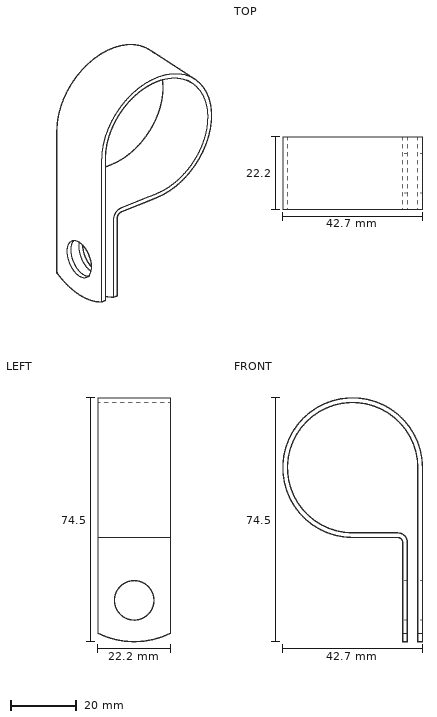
import cadquery as cq
import math

total_height = 74.5
loop_diameter = 42.7
strap_width = 22.2
thickness = 1.5
leg_gap = 3.1
bend_inner_radius = 1.5
hole_diameter = 12.0
hole_height = 12.7
tip_rise = 2.6

outer_radius = loop_diameter / 2
inner_radius = outer_radius - thickness
bottom = outer_radius - total_height
short_leg_outer = inner_radius - leg_gap
short_leg_inner = short_leg_outer - thickness
bend_outer_radius = bend_inner_radius + thickness
bend_x = short_leg_outer - bend_outer_radius
bend_z = -outer_radius - bend_inner_radius
half_width = strap_width / 2
diagonal = math.sqrt(0.5)


def strap():
    """Constant-thickness strip: long leg, three-quarter loop, shelf, bend and short leg."""
    return (
        cq.Workplane("XZ")
        .moveTo(outer_radius, bottom)
        .lineTo(outer_radius, 0)
        .threePointArc((-outer_radius * diagonal, outer_radius * diagonal), (0, -outer_radius))
        .lineTo(bend_x, -outer_radius)
        .threePointArc(
            (bend_x + bend_inner_radius * diagonal, bend_z + bend_inner_radius * diagonal),
            (short_leg_inner, bend_z),
        )
        .lineTo(short_leg_inner, bottom)
        .lineTo(short_leg_outer, bottom)
        .lineTo(short_leg_outer, bend_z)
        .threePointArc(
            (bend_x + bend_outer_radius * diagonal, bend_z + bend_outer_radius * diagonal),
            (bend_x, -inner_radius),
        )
        .lineTo(0, -inner_radius)
        .threePointArc((-inner_radius * diagonal, inner_radius * diagonal), (inner_radius, 0))
        .lineTo(inner_radius, bottom)
        .close()
        .extrude(half_width, both=True)
    )


def rounded_end_outline():
    """Side silhouette with an arc across the leg tips, as a block through the whole loop."""
    return (
        cq.Workplane("YZ")
        .moveTo(-half_width, outer_radius)
        .lineTo(-half_width, bottom + tip_rise)
        .threePointArc((0, bottom), (half_width, bottom + tip_rise))
        .lineTo(half_width, outer_radius)
        .close()
        .extrude(outer_radius, both=True)
    )


def bolt_hole():
    """Cylinder passing through both legs."""
    return (
        cq.Workplane("YZ")
        .center(0, bottom + hole_height)
        .circle(hole_diameter / 2)
        .extrude(outer_radius)
    )


result = strap().intersect(rounded_end_outline()).cut(bolt_hole())